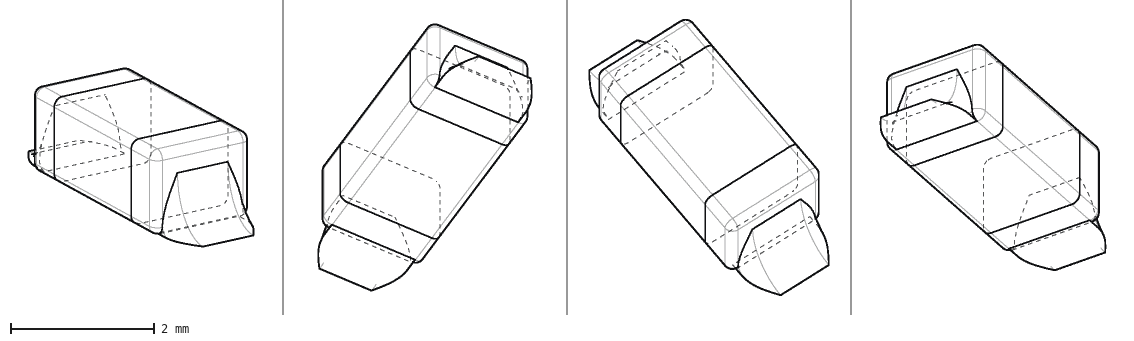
import cadquery as cq
import math

chip_length = 3.2
chip_width = 1.6
chip_height = 1.26
edge_radius = 0.13
core_length = 2.0

overall_length = 4.54
solder_height = 0.89
solder_edge_radius = 0.25
solder_width = chip_width - 2 * edge_radius
solder_reach = (overall_length - chip_length) / 2

trim = 2 * solder_edge_radius

half_chip = chip_length / 2
half_core = core_length / 2


def block(x_min, x_max, width, height):
    """Box standing on Z = 0 and centred on Y = 0."""
    return (
        cq.Workplane("XY")
        .box(x_max - x_min, width, height, centered=(False, True, False))
        .translate((x_min, 0, 0))
    )


def make_chip():
    """Whole outline of the chip, with every edge rounded."""
    return block(-half_chip, half_chip, chip_width, chip_height).edges().fillet(edge_radius)


def make_core(chip):
    """Ceramic middle of the chip."""
    return chip.intersect(block(-half_core, half_core, chip_width, chip_height))


def make_terminal(chip, side):
    """Metal end of the chip: side is -1 for the -X end and +1 for the +X end."""
    inner = half_core * side
    outer = half_chip * side
    return chip.intersect(block(min(inner, outer), max(inner, outer), chip_width, chip_height))


def make_solder(chip, side):
    """Concave solder fillet, from the end face of the chip down to a thin toe.

    The slope is a quarter ellipse, carried on straight past both its ends
    so that the rounding of its long edges runs out cleanly.
    """
    face = half_chip
    toe = face + solder_reach
    slope_middle_x = toe - solder_reach * math.cos(math.pi / 4)
    slope_middle_z = solder_height * (1 - math.sin(math.pi / 4))
    blank = (
        cq.Workplane("XZ")
        .moveTo(face - trim, -trim)
        .lineTo(face - trim, solder_height + trim)
        .lineTo(face, solder_height + trim)
        .lineTo(face, solder_height)
        .ellipseArc(solder_reach, solder_height, 180, 270, startAtCurrent=True)
        .lineTo(toe + trim, 0)
        .lineTo(toe + trim, -trim)
        .close()
        .extrude(solder_width)
        .translate((0, solder_width / 2, 0))
    )
    for y in (-solder_width / 2, solder_width / 2):
        long_edge = cq.selectors.NearestToPointSelector((slope_middle_x, y, slope_middle_z))
        blank = blank.edges(long_edge).fillet(solder_edge_radius)

    solder = blank.intersect(block(face - edge_radius, toe, solder_width, solder_height))
    solder = solder.cut(chip)
    return solder.mirror("YZ") if side < 0 else solder


chip = make_chip()
core = make_core(chip)
terminals = [make_terminal(chip, side) for side in (-1, 1)]
solders = [make_solder(chip, side) for side in (-1, 1)]

result = cq.Compound.makeCompound(
    [core.val()]
    + [terminal.val() for terminal in terminals]
    + [solder.solids().val() for solder in solders]
)